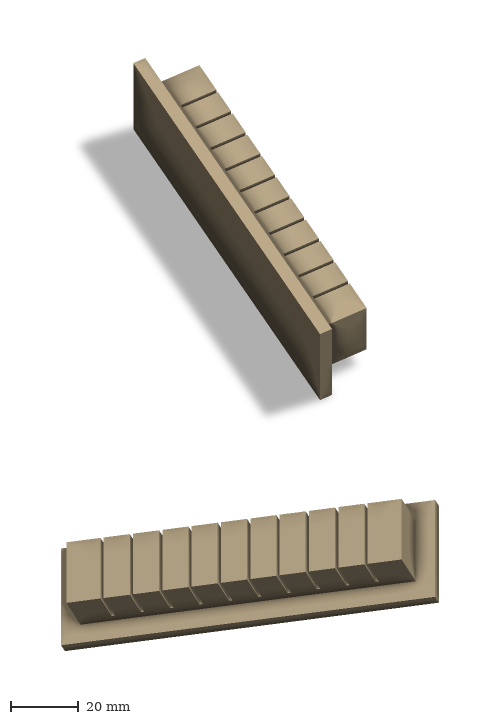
import cadquery as cq

length = 115.0
depth = 19.0
height = 32.0

block_length = 103.0
block_depth = 15.0
block_height = 20.0

slot_count = 10
slot_width = 1.0
slot_depth = 12.0
end_tooth_length = 10.5

plate_thickness = (depth - block_depth) / 2

inner_length = block_length - 2 * end_tooth_length
tooth_length = (inner_length - slot_count * slot_width) / (slot_count - 1)
slot_pitch = tooth_length + slot_width

back_plate_front = plate_thickness
block_front = 2 * plate_thickness


def box_from_front(size_x, size_y, size_z, front_y):
    """Box centred in X and Z that runs back from front_y."""
    return cq.Workplane("XY").box(size_x, size_y, size_z).translate((0, front_y + size_y / 2, 0))


def make_plate(front_y):
    return box_from_front(length, plate_thickness, height, front_y)


def make_slotted_block():
    block = box_from_front(block_length, block_depth, block_height, block_front)
    slot = box_from_front(slot_width, slot_depth, block_height, depth - slot_depth)
    first_slot_x = -(slot_count - 1) * slot_pitch / 2
    for index in range(slot_count):
        block = block.cut(slot.translate((first_slot_x + index * slot_pitch, 0, 0)))
    return block


front_plate = make_plate(0)
back_plate = make_plate(back_plate_front)
slotted_block = make_slotted_block()

result = cq.Compound.makeCompound([front_plate.val(), back_plate.val(), slotted_block.val()])